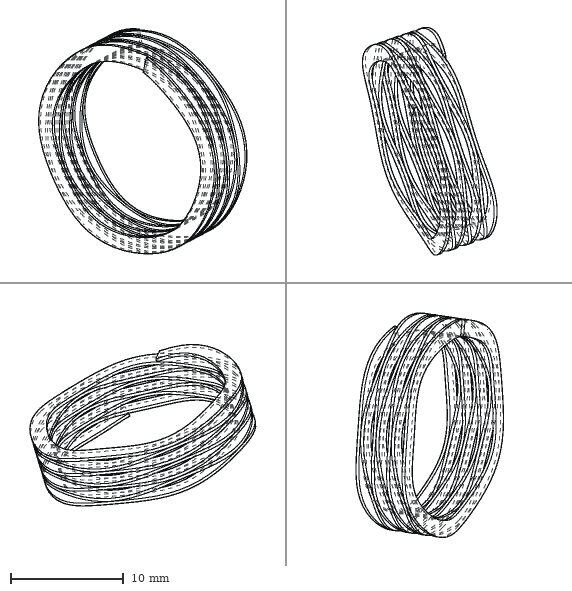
import cadquery as cq
import math

outer_radius = 9.75
inner_radius = 8.23
strip_thickness = 0.3
turns = 7
end_gap_angle = 13.0
pitch = 0.76
wave_height = 0.225
waves_per_turn = 4.5
end_drop = 0.23
end_bend_angle = 25.0
points_per_wave = 12

half_sweep = 180.0 * turns - end_gap_angle
step_count = math.ceil(2 * half_sweep / 360 * waves_per_turn * points_per_wave)


def strip_point(radius, offset, angle):
    """Point on the strip; angle in degrees from mid-length, offset along Y."""
    helix = pitch * angle / 360
    wave = wave_height * math.sin(math.radians(waves_per_turn * angle))
    bend_share = max(0.0, abs(angle) - half_sweep + end_bend_angle) / end_bend_angle
    bend = math.copysign(end_drop * bend_share**2, angle)
    y = helix + wave - bend + offset
    around = math.radians(angle + 180 * turns)
    return cq.Vector(radius * math.sin(around), y, radius * math.cos(around))


def strip_edge(radius, offset):
    """Long corner edge of the strip."""
    angles = [half_sweep * (2 * i / step_count - 1) for i in range(step_count + 1)]
    return cq.Edge.makeSpline([strip_point(radius, offset, a) for a in angles])


def wave_spring():
    half = strip_thickness / 2
    corners = [(inner_radius, -half), (outer_radius, -half), (outer_radius, half), (inner_radius, half)]
    edges = [strip_edge(*corner) for corner in corners]
    faces = [cq.Face.makeRuledSurface(edges[i - 1], edges[i]) for i in range(len(edges))]
    for end_angle in (-half_sweep, half_sweep):
        end_corners = [strip_point(*corner, end_angle) for corner in corners]
        faces.append(cq.Face.makeFromWires(cq.Wire.makePolygon(end_corners, close=True)))
    solid = cq.Solid.makeSolid(cq.Shell.makeShell(faces))
    return cq.Workplane("XY").newObject([solid.fix()])


result = wave_spring()